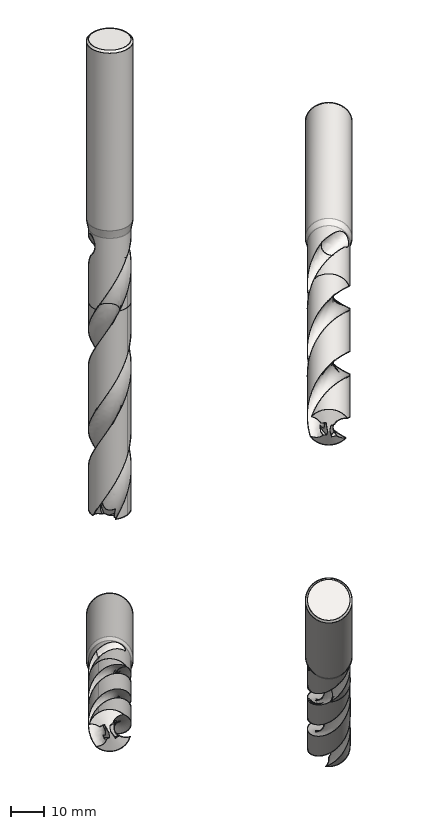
import cadquery as cq
import math

total_length = 167.0
shank_radius = 7.0
drill_radius = 6.43
shank_bottom = 104.0
neck_top = 101.0
split_height = 75.2
shank_chamfer = 0.7
point_angle = 140.0
helix_angle = 29.8

flute_count = 2
flute_width_angle = 66.0
web_radius = 1.3
flute_start_angle = -86.7
flute_helix_top = 92.9
runout_radial_shift = 3.5
runout_sideways_shift = 5.5
runout_height = 7.5

gash_left = -1.5
gash_right = 2.7
gash_rise = 2.8
gash_inner_y = -0.3
gash_outer_y = -2.8
gash_roof_inner_z = -0.8
gash_roof_outer_z = 5.0
gash_bottom_z = -5.0

point_height = drill_radius / math.tan(math.radians(point_angle / 2))
flute_lead = 2 * math.pi * drill_radius / math.tan(math.radians(helix_angle))
half_width_angle = math.radians(flute_width_angle / 2)
rim_edge_distance = drill_radius * math.cos(half_width_angle)
flute_offset = (drill_radius**2 - web_radius**2) / (2 * (rim_edge_distance - web_radius))
flute_radius = flute_offset - web_radius
flute_twist = 360 * flute_helix_top / flute_lead


def make_blank():
    """Round drill with a conical point, a conical neck and a chamfered shank."""
    profile = (
        cq.Workplane("XZ")
        .moveTo(0, 0)
        .lineTo(drill_radius, point_height)
        .lineTo(drill_radius, neck_top)
        .lineTo(shank_radius, shank_bottom)
        .lineTo(shank_radius, total_length)
        .lineTo(0, total_length)
        .close()
    )
    blank = profile.revolve(360, (0, 0, 0), (0, 1, 0))
    return blank.faces(">Z").edges().chamfer(shank_chamfer)


def make_helical_flute(angle):
    """Round groove that winds around the axis, up from the point."""
    groove = (
        cq.Workplane("XY")
        .moveTo(flute_offset, 0)
        .circle(flute_radius)
        .twistExtrude(flute_helix_top, flute_twist)
    )
    return groove.rotate((0, 0, 0), (0, 0, 1), angle)


def make_runout(angle):
    """Straight groove that leaves the helix sideways and climbs out of the drill."""
    section = cq.Wire.makeCircle(
        flute_radius, cq.Vector(flute_offset, 0, flute_helix_top), cq.Vector(0, 0, 1)
    )
    climb = cq.Vector(runout_radial_shift, runout_sideways_shift, runout_height)
    groove = cq.Workplane(cq.Solid.extrudeLinear(section, [], climb))
    return groove.rotate((0, 0, 0), (0, 0, 1), angle + flute_twist)


def make_gash(angle):
    """Notch with a sloped roof that thins the web beside the point."""
    section = cq.Wire.makePolygon(
        [
            cq.Vector(gash_left, gash_inner_y, gash_bottom_z),
            cq.Vector(gash_left, gash_inner_y, gash_roof_inner_z),
            cq.Vector(gash_left, gash_outer_y, gash_roof_outer_z),
            cq.Vector(gash_left, gash_outer_y, gash_bottom_z),
        ],
        close=True,
    )
    along_roof = cq.Vector(gash_right - gash_left, 0, gash_rise)
    notch = cq.Workplane(cq.Solid.extrudeLinear(section, [], along_roof))
    return notch.rotate((0, 0, 0), (0, 0, 1), angle)


def make_drill():
    drill = make_blank()
    for index in range(flute_count):
        turn = index * 360 / flute_count
        angle = flute_start_angle + turn
        drill = drill.cut(make_helical_flute(angle))
        drill = drill.cut(make_runout(angle))
        drill = drill.cut(make_gash(turn))
    return drill


def make_envelope(bottom, top):
    """Cylinder wide enough to hold the whole drill between two heights."""
    return (
        cq.Workplane("XY")
        .workplane(offset=bottom)
        .circle(2 * shank_radius)
        .extrude(top - bottom)
    )


fluted_drill = make_drill()
cutting_head = fluted_drill.intersect(make_envelope(0, split_height))
shank = fluted_drill.intersect(make_envelope(split_height, total_length))

result = cq.Compound.makeCompound([cutting_head.val(), shank.val()])